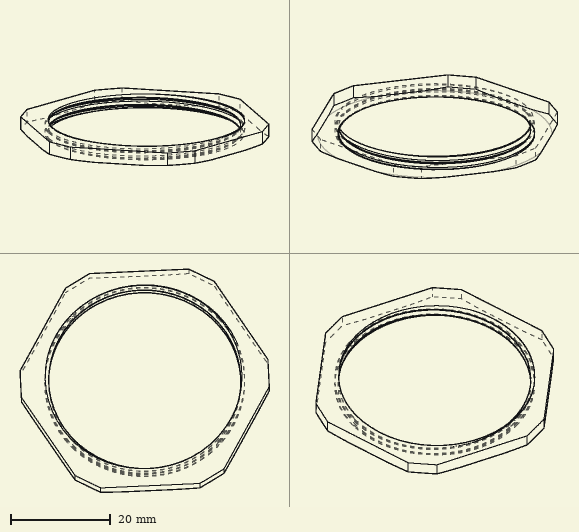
import cadquery as cq
import math

across_flats = 45.85
across_corners = 49.65
thickness = 2.9

relief_base_radius = 23.5
relief_width = 1.6
relief_height = 0.3

bore_radius = 19.2
thread_depth = 0.8
thread_pitch = 1.5
root_flat = thread_pitch / 4
flank_half_angle = 30.0
root_angle = 90.0
bore_overlap = 0.15


def hexagon(width):
    """Hexagonal prism with two corners on the X axis, sized across its flats."""
    corner_diameter = width / math.cos(math.radians(30))
    return cq.Workplane("XY").polygon(6, corner_diameter).extrude(thickness)


def nut_blank():
    """Hexagon with flats on +X and -X, its six corners cropped by a second hexagon."""
    hex_body = hexagon(across_flats).rotate((0, 0, 0), (0, 0, 1), 30)
    return hex_body.intersect(hexagon(across_corners))


def relief_envelope():
    """Solid of revolution that slopes up from the base toward the corners."""
    outer_radius = relief_base_radius + relief_width
    return (
        cq.Workplane("XZ")
        .moveTo(0, 0)
        .lineTo(relief_base_radius, 0)
        .lineTo(outer_radius, relief_height)
        .lineTo(outer_radius, thickness)
        .lineTo(0, thickness)
        .close()
        .revolve(360, (0, 0, 0), (0, 1, 0))
    )


def thread_cutter():
    """Helical V groove with a flat root, running past both faces of the nut."""
    turns_below = math.ceil(thickness / thread_pitch) + 1
    turns = turns_below + 1
    start_z = thickness - turns_below * thread_pitch
    root_half = root_flat / 2
    cutter_depth = thread_depth + bore_overlap
    mouth_half = root_half + cutter_depth * math.tan(math.radians(flank_half_angle))
    inner_radius = bore_radius - bore_overlap
    root_radius = bore_radius + thread_depth

    helix = cq.Wire.makeHelix(thread_pitch, turns * thread_pitch, bore_radius)
    groove = (
        cq.Workplane("XZ")
        .polyline([
            (inner_radius, -mouth_half),
            (root_radius, -root_half),
            (root_radius, root_half),
            (inner_radius, mouth_half),
        ])
        .close()
        .sweep(cq.Workplane(obj=helix), isFrenet=True)
    )
    return groove.rotate((0, 0, 0), (0, 0, 1), root_angle).translate((0, 0, start_z))


bore = cq.Workplane("XY").circle(bore_radius).extrude(thickness)
nut = nut_blank().intersect(relief_envelope()).cut(bore)
result = nut.cut(thread_cutter())